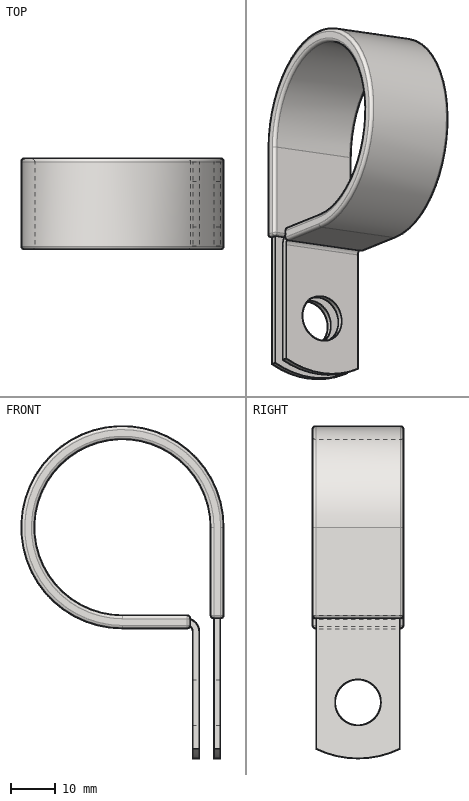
import cadquery as cq
import math

strap_thickness = 1.5
strap_width = 19.0
bend_inner_radius = 1.4

cushion_outer_diameter = 45.9
cushion_width = 20.65
cushion_wall = 0.75
cushion_edge_radius = 0.75

overall_height = 75.3
straight_leg_cushion_length = 20.65
bent_leg_cushion_length = 15.4
bent_leg_outer_face_x = 17.4

hole_diameter = 10.3
hole_height_above_tip = 12.7
tip_rise = 2.2

cushion_outer_radius = cushion_outer_diameter / 2
strap_outer_radius = cushion_outer_radius - cushion_wall
strap_inner_radius = strap_outer_radius - strap_thickness
cushion_inner_radius = strap_inner_radius - cushion_wall
tip_z = cushion_outer_radius - overall_height
bent_leg_inner_face_x = bent_leg_outer_face_x - strap_thickness
bend_outer_radius = bend_inner_radius + strap_thickness
bend_center_x = bent_leg_inner_face_x - bend_inner_radius
bend_center_z = -strap_outer_radius - bend_inner_radius


def on_circle(radius, degrees, center_x=0.0, center_z=0.0):
    """Point on a circle in the XZ plane."""
    angle = math.radians(degrees)
    return (center_x + radius * math.cos(angle), center_z + radius * math.sin(angle))


def extrude_centered(outline, width):
    """Extrude a closed XZ outline equally to both sides of the XZ plane."""
    return outline.close().extrude(width / 2, both=True)


def make_cushion():
    """Three-quarter loop with two straight ends and rounded outer edges."""
    outline = (
        cq.Workplane("XZ")
        .moveTo(cushion_outer_radius, -straight_leg_cushion_length)
        .lineTo(cushion_outer_radius, 0)
        .threePointArc(on_circle(cushion_outer_radius, 135), (0, -cushion_outer_radius))
        .lineTo(bent_leg_cushion_length, -cushion_outer_radius)
        .lineTo(bent_leg_cushion_length, -cushion_inner_radius)
        .lineTo(0, -cushion_inner_radius)
        .threePointArc(on_circle(cushion_inner_radius, 135), (cushion_inner_radius, 0))
        .lineTo(cushion_inner_radius, -straight_leg_cushion_length)
    )
    cushion = extrude_centered(outline, cushion_width)
    middle_radius = (cushion_inner_radius + cushion_outer_radius) / 2
    straight_end_center = (middle_radius, 0, -straight_leg_cushion_length)
    bent_end_center = (bent_leg_cushion_length, 0, -middle_radius)
    side_edges = cushion.faces("<Y or >Y").edges()
    straight_end_edges = cushion.faces(cq.NearestToPointSelector(straight_end_center)).edges("|Y")
    bent_end_edges = cushion.faces(cq.NearestToPointSelector(bent_end_center)).edges("|Y")
    rounded_edges = side_edges.add(straight_end_edges).add(bent_end_edges)
    return rounded_edges.fillet(cushion_edge_radius)


def make_strap():
    """Constant-thickness strip: straight leg, loop, bend and bent leg."""
    outline = (
        cq.Workplane("XZ")
        .moveTo(strap_outer_radius, tip_z)
        .lineTo(strap_outer_radius, 0)
        .threePointArc(on_circle(strap_outer_radius, 135), (0, -strap_outer_radius))
        .lineTo(bend_center_x, -strap_outer_radius)
        .threePointArc(
            on_circle(bend_inner_radius, 45, bend_center_x, bend_center_z),
            (bent_leg_inner_face_x, bend_center_z),
        )
        .lineTo(bent_leg_inner_face_x, tip_z)
        .lineTo(bent_leg_outer_face_x, tip_z)
        .lineTo(bent_leg_outer_face_x, bend_center_z)
        .threePointArc(
            on_circle(bend_outer_radius, 45, bend_center_x, bend_center_z),
            (bend_center_x, -strap_inner_radius),
        )
        .lineTo(0, -strap_inner_radius)
        .threePointArc(on_circle(strap_inner_radius, 135), (strap_inner_radius, 0))
        .lineTo(strap_inner_radius, tip_z)
    )
    return extrude_centered(outline, strap_width)


def make_tip_envelope():
    """End-on silhouette of the strap, with an arc along the leg tips."""
    half_width = strap_width / 2
    return (
        cq.Workplane("YZ")
        .moveTo(-half_width, cushion_outer_radius)
        .lineTo(-half_width, tip_z + tip_rise)
        .threePointArc((0, tip_z), (half_width, tip_z + tip_rise))
        .lineTo(half_width, cushion_outer_radius)
        .close()
        .extrude(cushion_outer_radius, both=True)
    )


def make_bolt_hole():
    """Cutter passing through both legs."""
    return (
        cq.Workplane("YZ")
        .center(0, tip_z + hole_height_above_tip)
        .circle(hole_diameter / 2)
        .extrude(cushion_outer_radius)
    )


strap = make_strap().intersect(make_tip_envelope()).cut(make_bolt_hole())
result = make_cushion().union(strap)